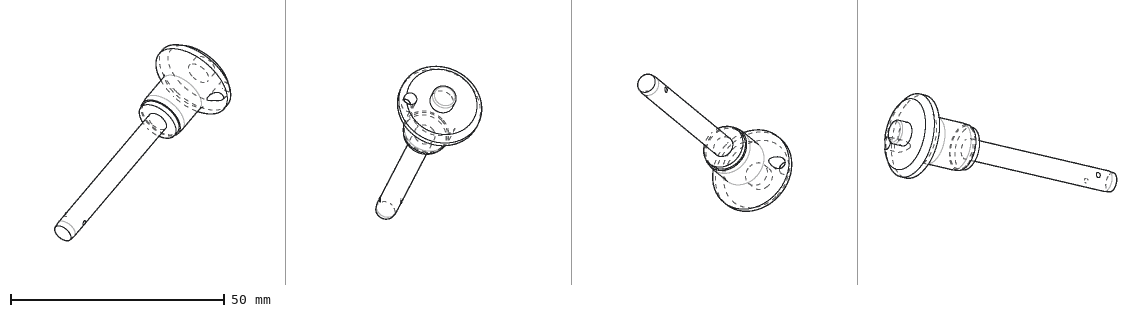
import cadquery as cq


shank_length = 41.0
shank_radius = 2.5
tip_length = 1.5
tip_radius = 2.3

collar_length = 1.3
collar_radius = 5.15
taper_length = 1.5
taper_end_radius = 5.5
neck_length = 7.4
neck_radius = 5.65
flange_radius = 10.0
flare_length = 4.5
rim_length = 1.5
rim_chamfer = 1.5

button_length = 3.0
button_radius = 2.85
button_edge_radius = 0.4

lanyard_hole_diameter = 3.0
lanyard_hole_offset = 7.5

ball_radius = 0.75
ball_protrusion = 0.25
ball_from_tip = 5.4

taper_start_y = collar_length
neck_start_y = taper_start_y + taper_length
flare_start_y = neck_start_y + neck_length
rim_start_y = flare_start_y + flare_length
rim_end_y = rim_start_y + rim_length
handle_top_y = rim_end_y + rim_chamfer
button_top_y = handle_top_y + button_length
tip_y = -shank_length


def make_body():
    """Revolve the shank, handle and button as one half-profile about Y."""
    flare_width = flange_radius - neck_radius
    diagonal = 0.5 ** 0.5
    flare_middle = (
        flange_radius - flare_width * diagonal,
        flare_start_y + flare_length * diagonal,
    )
    profile = (
        cq.Workplane("XY")
        .moveTo(0, tip_y)
        .lineTo(tip_radius, tip_y)
        .lineTo(shank_radius, tip_y + tip_length)
        .lineTo(shank_radius, 0)
        .lineTo(collar_radius, 0)
        .lineTo(collar_radius, taper_start_y)
        .lineTo(taper_end_radius, taper_start_y)
        .lineTo(neck_radius, neck_start_y)
        .lineTo(neck_radius, flare_start_y)
        .threePointArc(flare_middle, (flange_radius, rim_start_y))
        .lineTo(flange_radius, rim_end_y)
        .lineTo(flange_radius - rim_chamfer, handle_top_y)
        .lineTo(button_radius, handle_top_y)
        .lineTo(button_radius, button_top_y)
        .lineTo(0, button_top_y)
        .close()
    )
    body = profile.revolve(360, (0, 0, 0), (0, 1, 0))
    return body.faces(">Y").edges().fillet(button_edge_radius)


def make_ball(side):
    """Locking ball on the +X (side = 1) or -X (side = -1) flank of the shank."""
    ball_x = shank_radius + ball_protrusion - ball_radius
    return cq.Workplane("XY").sphere(ball_radius).translate((side * ball_x, tip_y + ball_from_tip, 0))


def make_lanyard_hole():
    """Drill parallel to the axis, spanning the whole handle beside the neck."""
    return (
        cq.Workplane("XZ", origin=(lanyard_hole_offset, handle_top_y, 0))
        .circle(lanyard_hole_diameter / 2)
        .extrude(handle_top_y)
    )


result = make_body()
for ball_side in (-1, 1):
    result = result.union(make_ball(ball_side))
result = result.cut(make_lanyard_hole())